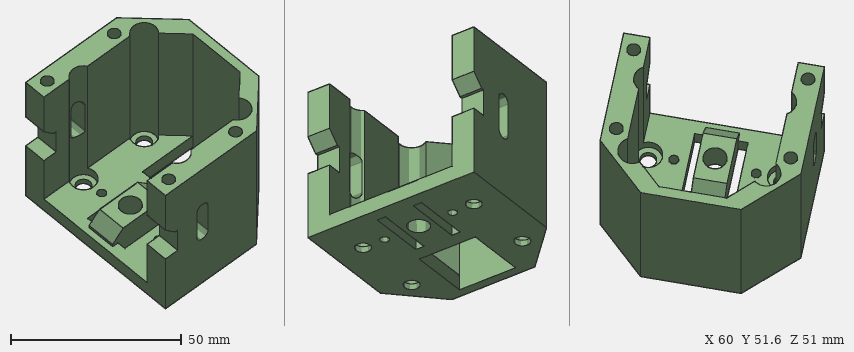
import cadquery as cq

WIDTH = 60.0
DEPTH = 51.6
HEIGHT = 51.0
FLOOR = 5.1
CORNER_CUT = 15.0

SIDE_WALL = 7.85
BACK_WALL = 3.0
CAVITY_HALF = WIDTH / 2 - SIDE_WALL
CAVITY_BACK = DEPTH - BACK_WALL
REAR_WINDOW = 20.2

SCREW_X = 20.0
SCREW_FRONT_Y = 13.85
SCREW_BACK_Y = 38.3
SCREW_BORE = 8.5
SCREW_HOLE = 5.0
SCREW_SEAT = 2.0

PIN_X = 26.05
PIN_FRONT_Y = 5.0
PIN_BACK_Y = 31.85
PIN_HOLE = 4.0
PIN_DEPTH = 10.0

SMALL_HOLE = 2.9
SMALL_X = 12.3

CLIP_Y = 14.0
CLIP_WIDTH = 10.1
CLIP_LENGTH = 23.65
CLIP_TOP_LENGTH = 15.25
CLIP_TOP = 10.1
CLIP_EDGE = 0.95
CLIP_HOLE = 7.0
FRONT_WINDOW_WIDTH = 15.95
FRONT_WINDOW_LENGTH = 19.4

SLOT_Y = 14.9
SLOT_WIDTH = 4.5
SLOT_BOTTOM = 19.75
SLOT_TOP = 35.2

NOTCH_DEPTH = 4.9
NOTCH_BOTTOM = 22.45
NOTCH_TOP = 31.5
NOTCH_SLOPE = 3.9


def chamfered_prism(half_width, back, cut, bottom):
    """Prism up to the top of the housing, with its two back corners cut off."""
    points = [
        (-half_width, 0),
        (half_width, 0),
        (half_width, back - cut),
        (half_width - cut, back),
        (cut - half_width, back),
        (-half_width, back - cut),
    ]
    return cq.Workplane("XY", origin=(0, 0, bottom)).polyline(points).close().extrude(HEIGHT - bottom)


def floor_block(width, length, center_y):
    """Rectangular block as thick as the floor."""
    return cq.Workplane("XY").center(0, center_y).rect(width, length).extrude(FLOOR)


def cylinders(points, diameter, bottom, top):
    plane = cq.Workplane("XY", origin=(0, 0, bottom))
    return plane.pushPoints(points).circle(diameter / 2).extrude(top - bottom)


def mirrored_points(x, *y_values):
    return [(side * x, y) for y in y_values for side in (-1, 1)]


def clip():
    """Bar with both ends sloped above a thin vertical edge, on a block set into the floor."""
    half = CLIP_LENGTH / 2
    half_top = CLIP_TOP_LENGTH / 2
    edge_top = FLOOR + CLIP_EDGE
    profile = [
        (-half, FLOOR),
        (half, FLOOR),
        (half, edge_top),
        (half_top, CLIP_TOP),
        (-half_top, CLIP_TOP),
        (-half, edge_top),
    ]
    plane = cq.Workplane("YZ", origin=(0, CLIP_Y, 0))
    bar = plane.polyline(profile).close().extrude(CLIP_WIDTH / 2, both=True)
    block = floor_block(CLIP_WIDTH, FRONT_WINDOW_LENGTH, CLIP_Y)
    return bar.union(block).cut(cylinders([(0, CLIP_Y)], CLIP_HOLE, 0, CLIP_TOP))


def side_slot():
    length = SLOT_TOP - SLOT_BOTTOM
    center_z = (SLOT_TOP + SLOT_BOTTOM) / 2
    plane = cq.Workplane("YZ").center(SLOT_Y, center_z)
    return plane.slot2D(length, SLOT_WIDTH, 90).extrude(WIDTH / 2, both=True)


def front_notch():
    profile = [
        (0, NOTCH_BOTTOM),
        (NOTCH_DEPTH, NOTCH_BOTTOM),
        (NOTCH_DEPTH, NOTCH_TOP),
        (NOTCH_SLOPE, NOTCH_TOP),
        (0, NOTCH_TOP + NOTCH_SLOPE),
    ]
    return cq.Workplane("YZ").polyline(profile).close().extrude(WIDTH / 2, both=True)


screw_points = mirrored_points(SCREW_X, SCREW_FRONT_Y, SCREW_BACK_Y)
pin_points = mirrored_points(PIN_X, PIN_FRONT_Y, PIN_BACK_Y)
cavity_cut = CAVITY_HALF - REAR_WINDOW / 2

housing = chamfered_prism(WIDTH / 2, DEPTH, CORNER_CUT, 0)
housing = housing.cut(chamfered_prism(CAVITY_HALF, CAVITY_BACK, cavity_cut, FLOOR))
housing = housing.cut(floor_block(REAR_WINDOW, REAR_WINDOW, CAVITY_BACK - REAR_WINDOW / 2))
housing = housing.cut(floor_block(FRONT_WINDOW_WIDTH, FRONT_WINDOW_LENGTH, CLIP_Y))
housing = housing.cut(cylinders(screw_points, SCREW_BORE, SCREW_SEAT, HEIGHT))
housing = housing.cut(cylinders(screw_points, SCREW_HOLE, 0, SCREW_SEAT))
housing = housing.cut(cylinders(pin_points, PIN_HOLE, HEIGHT - PIN_DEPTH, HEIGHT))
housing = housing.cut(cylinders(mirrored_points(SMALL_X, CLIP_Y), SMALL_HOLE, 0, FLOOR))
housing = housing.cut(side_slot()).cut(front_notch())

result = housing.union(clip())